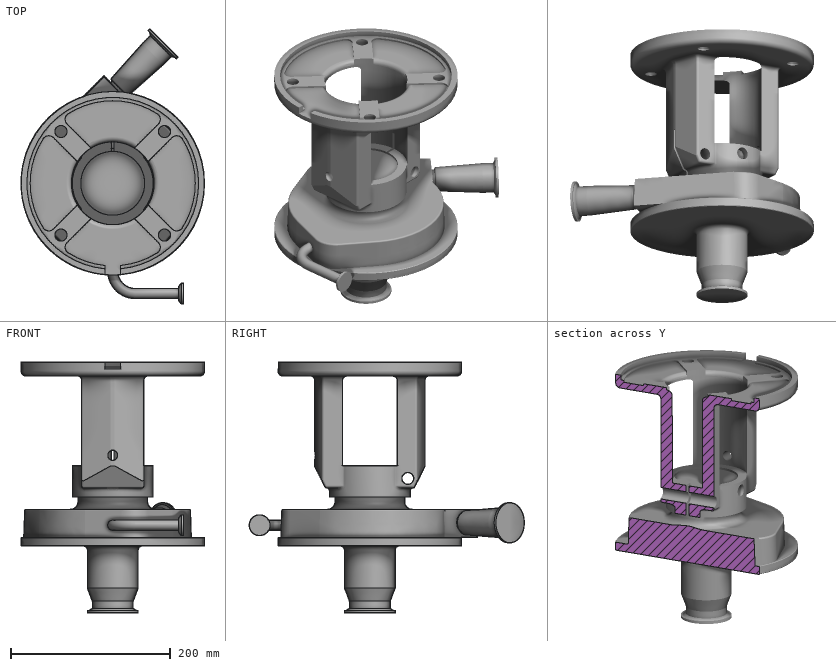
import cadquery as cq
import math

lower_plate_bottom = 83.5
housing_bottom = 94.5
housing_top = 129.5
hub_bottom = 144.7
hub_top = 184.5
top_plate_bottom = 296.5
total_height = 314.0

total_length = 344.5

plate_radius = 230.0 / 2
plate_edge_fillet = 6.2
base_plate_chamfer = 0.7
rim_inner_radius = 107.5
rim_depth = 6.2
pocket_outer_radius = 103.5
pocket_depth = 2.5
pocket_corner_radius = 8.3
pocket_lip_fillet = 6.0
spoke_width = 24.0
spoke_angles = (45, 135, 225, 315)
bore_radius = 103.7 / 2
bolt_circle_radius = 91.5
bolt_hole_radius = 7.5
notch_width = 19.5

hub_radius = 50.5
shaft_radius = 40.0
shaft_recess = 2.8
neck_radius = 43.8
neck_fillet = 9.3
hub_hole_radius = 7.5
hub_hole_height = 173.0

leg_half_width = 78.2 / 2
leg_ridge_half_width = 2.8
leg_ridge_y = 69.3
leg_corner_y = 59.3
leg_edge_fillet = 3.0
leg_bottom = 156.0
leg_slope_top = 183.5
leg_slope_run = 0.5
leg_root_fillet = 4.8
leg_hub_fillet = 3.5
front_hole_radius = 6.2
front_hole_height = 197.0
slit_width = 3.0
slit_top = 206.8
clamp_hole_radius = 7.2
clamp_hole_y = 47.5
clamp_hole_height = 168.0

outlet_direction = 45
housing_radius = 98.5
housing_draft = 1.8
housing_edge_fillet = 2.0
housing_corner_fillet = 29.3
outlet_face = 87.5
housing_side = 103.0
front_tangent_angle = 155.6
side_tangent_angle = 84.6

outlet_offset = 79.0
outlet_height = 112.7
outlet_neck_radius = 12.0
outlet_small_radius = 15.0
outlet_large_radius = 18.5
outlet_flange_radius = 25.0
outlet_shoulder_fillet = 2.0
outlet_cone_start = 90.3
outlet_cone_end = 150.0
outlet_end = 169.5

drain_radius = 12.7 / 2
drain_bend_radius = 28.3
drain_height = 109.5
drain_start_y = -82.7
drain_flange_start = 82.5
drain_end = 89.0
drain_flange_radius = 13.0
outlet_tip_y = (outlet_end + outlet_offset + outlet_flange_radius) * math.sin(math.radians(outlet_direction))
drain_axis_y = outlet_tip_y - total_length + drain_flange_radius

pipe_radius = 63.7 / 2
pipe_end_radius = 51.5 / 2
pipe_root_fillet = 4.8
pipe_cone_top = 31.0
pipe_cone_bottom = 14.5

flange_rim = 3.0
flange_flare = 2.5

OVERLAP = 3.5
TOLERANCE = 0.05


def cylinder(radius, bottom, top):
    return cq.Workplane("XY").workplane(offset=bottom).circle(radius).extrude(top - bottom)


def polar(radius, degrees):
    angle = math.radians(degrees)
    return (radius * math.cos(angle), radius * math.sin(angle))


spoke_top = total_height - rim_depth
pocket_floor = spoke_top - pocket_depth


def cut_spokes(body):
    """Remove the diagonal spokes; each bar spans two opposite spokes."""
    for angle in spoke_angles[:2]:
        bar = cq.Workplane("XY").box(2 * plate_radius, spoke_width, 2 * total_height)
        body = body.cut(bar.rotate((0, 0, 0), (0, 0, 1), angle))
    return body


def pocket_cutters():
    """Four ring sectors left between the diagonal spokes, and a rounded lip into the bore."""
    sectors = cut_spokes(cylinder(pocket_outer_radius, pocket_floor, spoke_top))
    inner_zone = cq.selectors.BoxSelector(
        (-bore_radius, -bore_radius, 0), (bore_radius, bore_radius, total_height)
    )
    outer_corners = cq.selectors.InverseSelector(inner_zone)
    sectors = sectors.edges("|Z").edges(outer_corners).fillet(pocket_corner_radius)

    lip_radius = bore_radius + pocket_lip_fillet
    lip_bottom = pocket_floor - pocket_lip_fillet
    diagonal = pocket_lip_fillet * math.sqrt(0.5)
    lip = (
        cq.Workplane("XZ")
        .moveTo(lip_radius, pocket_floor)
        .threePointArc((lip_radius - diagonal, lip_bottom + diagonal), (bore_radius, lip_bottom))
        .lineTo(bore_radius - OVERLAP, lip_bottom)
        .lineTo(bore_radius - OVERLAP, pocket_floor)
        .close()
        .revolve(360, (0, 0, 0), (0, 1, 0))
    )
    return sectors, cut_spokes(lip)


def mounting_plate():
    plate = cylinder(plate_radius, top_plate_bottom, total_height)
    return plate.faces("<Z").edges().fillet(plate_edge_fillet)


def cut_plate_details(body):
    body = body.cut(cylinder(rim_inner_radius, spoke_top, total_height + OVERLAP))
    for cutter in pocket_cutters():
        body = body.cut(cutter)
    for angle in spoke_angles:
        x, y = polar(bolt_circle_radius, angle)
        hole = cylinder(bolt_hole_radius, top_plate_bottom - OVERLAP, total_height).translate((x, y, 0))
        body = body.cut(hole)
    notch = cq.Workplane("XY").box(
        notch_width, plate_radius - pocket_outer_radius + 2 * OVERLAP, rim_depth + pocket_depth + OVERLAP,
        centered=(True, False, False),
    ).translate((0, -plate_radius - OVERLAP, pocket_floor))
    return body.cut(notch)


def front_leg():
    """Ridged leg on the -Y side, sloping in at the bottom towards the hub."""
    half_outline = [
        (leg_half_width, 0),
        (leg_half_width, -leg_corner_y),
        (leg_ridge_half_width, -leg_ridge_y),
    ]
    outline = half_outline + [(-x, y) for x, y in reversed(half_outline)]
    leg = (
        cq.Workplane("XY").workplane(offset=leg_bottom)
        .polyline(outline).close().extrude(top_plate_bottom - leg_bottom)
    )
    slope_height = leg_slope_top - leg_bottom + OVERLAP
    slope_end_y = -leg_ridge_y + leg_slope_run * slope_height
    slope = (
        cq.Workplane("YZ")
        .moveTo(-leg_ridge_y, leg_slope_top)
        .lineTo(slope_end_y, leg_slope_top - slope_height)
        .lineTo(-leg_ridge_y - OVERLAP, leg_slope_top - slope_height)
        .lineTo(-leg_ridge_y - OVERLAP, leg_slope_top)
        .close()
        .extrude(2 * leg_half_width, both=True)
    )
    leg = leg.cut(slope)
    outer_zone = cq.selectors.BoxSelector(
        (-leg_half_width - OVERLAP, -leg_ridge_y, leg_bottom - OVERLAP),
        (leg_half_width + OVERLAP, -hub_radius, top_plate_bottom - OVERLAP),
    )
    flanks = leg.faces("<X or >X").edges(outer_zone)
    toe = leg.faces("<Z").edges("not >Y")
    return leg.newObject(flanks.vals() + toe.vals()).fillet(leg_edge_fillet)


def lies_on_hub(edge):
    middle = edge.positionAt(0.5)
    return abs(math.hypot(middle.x, middle.y) - hub_radius) < TOLERANCE


def frame():
    """Mounting plate, both legs and the clamping hub between their feet."""
    leg = front_leg()
    body = mounting_plate().union(leg).union(leg.rotate((0, 0, 0), (0, 0, 1), 180))
    body = body.cut(cylinder(bore_radius, hub_top, total_height + OVERLAP))

    root_zone = cq.selectors.BoxSelector(
        (-leg_half_width - OVERLAP, -leg_ridge_y - OVERLAP, top_plate_bottom - TOLERANCE),
        (leg_half_width + OVERLAP, leg_ridge_y + OVERLAP, top_plate_bottom + TOLERANCE),
    )
    roots = body.edges(root_zone).edges("not %CIRCLE")
    body = body.newObject(roots.vals()).fillet(leg_root_fillet)

    body = body.union(cylinder(hub_radius, hub_bottom, hub_top))
    seam_zone = cq.selectors.BoxSelector(
        (-hub_radius, -hub_radius - TOLERANCE, leg_bottom - TOLERANCE),
        (hub_radius, hub_radius + TOLERANCE, hub_top - TOLERANCE),
    )
    seams = [seam for seam in body.edges(seam_zone).vals() if lies_on_hub(seam)]
    return body.newObject(seams).fillet(leg_hub_fillet)


def cut_hub_details(body):
    body = body.cut(cylinder(shaft_radius, hub_top - shaft_recess, hub_top))
    slit = cq.Workplane("XY").box(
        slit_width, leg_ridge_y, slit_top - hub_bottom, centered=(True, False, False)
    ).translate((0, shaft_radius, hub_bottom))
    clamp_hole = (
        cq.Workplane("YZ").center(clamp_hole_y, clamp_hole_height)
        .circle(clamp_hole_radius).extrude(hub_radius, both=True)
    )
    hub_hole = (
        cq.Workplane("YZ", origin=(-shaft_radius, 0, hub_hole_height))
        .circle(hub_hole_radius).extrude(-hub_radius)
    )
    leg_hole = (
        cq.Workplane("XZ", origin=(0, -shaft_radius, front_hole_height))
        .circle(front_hole_radius).extrude(leg_ridge_y)
    )
    for cutter in (slit, clamp_hole, hub_hole, leg_hole):
        body = body.cut(cutter)
    return body


def neck():
    """Neck below the hub, flaring into the top of the housing."""
    foot_radius = neck_radius + neck_fillet
    diagonal = neck_fillet * math.sqrt(0.5)
    flare_top = housing_top + neck_fillet
    return (
        cq.Workplane("XZ")
        .moveTo(0, housing_top - OVERLAP)
        .lineTo(foot_radius, housing_top - OVERLAP)
        .lineTo(foot_radius, housing_top)
        .threePointArc((foot_radius - diagonal, flare_top - diagonal), (neck_radius, flare_top))
        .lineTo(neck_radius, hub_bottom)
        .lineTo(0, hub_bottom)
        .close()
        .revolve(360, (0, 0, 0), (0, 1, 0))
    )


def housing():
    """Drafted volute casing: a round body with two tangent corners and a square outlet block."""
    front_right = polar(housing_radius, -front_tangent_angle)
    front_left = polar(housing_radius, front_tangent_angle)
    side_right = polar(housing_radius, -side_tangent_angle)
    middle = (front_tangent_angle + side_tangent_angle) / 2
    half_span = math.radians(front_tangent_angle - side_tangent_angle) / 2
    right_corner = polar(housing_radius / math.cos(half_span), -middle)
    slope = math.radians(front_tangent_angle)
    half_left_turn = (slope - math.pi / 2) / 2
    left_corner = ((housing_radius - housing_side * math.sin(slope)) / math.cos(slope), housing_side)
    inner_end = (outlet_face, math.sqrt(housing_radius**2 - outlet_face**2))

    height = housing_top - housing_bottom
    casing = (
        cq.Workplane("XY").workplane(offset=housing_bottom)
        .moveTo(outlet_face, housing_side)
        .lineTo(*left_corner)
        .lineTo(*front_left)
        .threePointArc((-housing_radius, 0), front_right)
        .lineTo(*right_corner)
        .lineTo(*side_right)
        .threePointArc((housing_radius, 0), inner_end)
        .close()
        .extrude(height, taper=housing_draft)
    )
    for corner in (left_corner, right_corner):
        upright = cq.selectors.NearestToPointSelector((*corner, housing_bottom + height / 2))
        casing = casing.edges(upright).fillet(housing_corner_fillet)
    casing = casing.faces(">Z").edges().fillet(housing_edge_fillet)

    block_start = left_corner[0] + housing_corner_fillet * math.tan(half_left_turn)
    block = (
        cq.Workplane("XY").workplane(offset=housing_bottom)
        .moveTo(block_start, inner_end[1])
        .lineTo(block_start, housing_side)
        .lineTo(outlet_face, housing_side)
        .lineTo(*inner_end)
        .close()
        .extrude(height, taper=housing_draft)
    )
    return casing.union(block)


def outlet():
    """Tapered outlet tube along the first axis of the housing frame."""
    flange_back = outlet_end - flange_rim
    profile = [
        (outlet_face - 2 * OVERLAP, 0),
        (outlet_face - 2 * OVERLAP, outlet_neck_radius),
        (outlet_cone_start, outlet_neck_radius),
        (outlet_cone_start, outlet_small_radius),
        (outlet_cone_end, outlet_large_radius),
        (flange_back - flange_flare, outlet_large_radius),
        (flange_back, outlet_flange_radius - flange_flare),
        (flange_back, outlet_flange_radius),
        (outlet_end, outlet_flange_radius),
        (outlet_end, 0),
    ]
    tube = cq.Workplane("XY").polyline(profile).close().revolve(360, (0, 0, 0), (1, 0, 0))
    shoulder = cq.selectors.RadiusNthSelector(1)
    tube = tube.edges("%CIRCLE").edges(shoulder).fillet(outlet_shoulder_fillet)
    return tube.translate((0, outlet_offset, outlet_height))


def drain():
    """Pipe leaving the housing along -Y and bending round to a small flange facing +X."""
    bend_center = (drain_bend_radius, drain_axis_y + drain_bend_radius)
    diagonal = drain_bend_radius * math.sqrt(0.5)
    path = (
        cq.Workplane("XY", origin=(0, 0, drain_height))
        .moveTo(0, drain_start_y)
        .lineTo(0, bend_center[1])
        .threePointArc(
            (bend_center[0] - diagonal, bend_center[1] - diagonal), (bend_center[0], drain_axis_y)
        )
        .lineTo(drain_end, drain_axis_y)
    )
    pipe = cq.Workplane("XZ", origin=(0, drain_start_y, drain_height)).circle(drain_radius).sweep(path)
    profile = [
        (drain_flange_start, 0),
        (drain_flange_start, drain_radius + flange_flare),
        (drain_end - flange_rim, drain_flange_radius),
        (drain_end, drain_flange_radius),
        (drain_end, 0),
    ]
    flange = cq.Workplane("XY").polyline(profile).close().revolve(360, (0, 0, 0), (1, 0, 0))
    return pipe.union(flange.translate((0, drain_axis_y, drain_height)))


def base():
    """Base plate with the stepped pipe and its end flange below."""
    plate = cylinder(plate_radius, lower_plate_bottom, housing_bottom)
    plate = plate.faces("<Z or >Z").edges().chamfer(base_plate_chamfer)
    root_radius = pipe_radius + pipe_root_fillet
    root_bottom = lower_plate_bottom - pipe_root_fillet
    diagonal = pipe_root_fillet * math.sqrt(0.5)
    pipe = (
        cq.Workplane("XZ")
        .lineTo(pipe_radius, 0)
        .lineTo(pipe_radius, flange_rim)
        .lineTo(pipe_radius - flange_flare, flange_rim)
        .lineTo(pipe_end_radius, flange_rim + flange_flare)
        .lineTo(pipe_end_radius, pipe_cone_bottom)
        .lineTo(pipe_radius, pipe_cone_top)
        .lineTo(pipe_radius, root_bottom)
        .threePointArc((root_radius - diagonal, root_bottom + diagonal), (root_radius, lower_plate_bottom))
        .lineTo(root_radius, lower_plate_bottom + OVERLAP)
        .lineTo(0, lower_plate_bottom + OVERLAP)
        .close()
        .revolve(360, (0, 0, 0), (0, 1, 0))
    )
    return plate.union(pipe)


upper = cut_hub_details(cut_plate_details(frame()))
casing = housing().union(outlet()).rotate((0, 0, 0), (0, 0, 1), outlet_direction)
result = upper.union(neck()).union(casing).union(base()).union(drain())